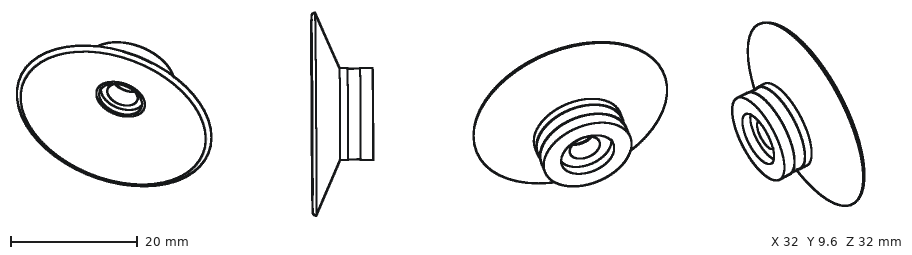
import cadquery as cq
import math

total_length = 9.6
rim_radius = 16.0
rim_height = 0.58
rim_round_radius = 0.6
rim_flat_width = 0.2

collar_radius = 7.25
groove_depth = 0.1
end_band_width = 2.0
groove_width = 2.0
front_band_width = 1.25

seat_radius = 4.0
seat_height = 4.1
counterbore_radius = 3.52
counterbore_depth = 1.0
bore_radius = 2.5
back_recess_radius = 4.4
back_recess_depth = 1.5

groove_back = total_length - end_band_width
groove_front = groove_back - groove_width
cone_top = groove_front - front_band_width

rim_flat_outer = rim_radius - rim_round_radius
rim_flat_inner = rim_flat_outer - rim_flat_width
counterbore_floor = seat_height + counterbore_depth
back_recess_floor = total_length - back_recess_depth

arc_offset = rim_round_radius * (1 - math.sqrt(0.5))


def make_cup():
    """Conical cup with a rounded rim and a collar, hollow on the rim side."""
    profile = (
        cq.Workplane("XY")
        .moveTo(0, total_length)
        .lineTo(collar_radius, total_length)
        .lineTo(collar_radius, cone_top)
        .lineTo(rim_radius, rim_height)
        .threePointArc((rim_radius - arc_offset, arc_offset), (rim_flat_outer, 0))
        .lineTo(rim_flat_inner, 0)
        .lineTo(seat_radius, seat_height)
        .lineTo(0, seat_height)
        .close()
    )
    return profile.revolve(360, (0, 0, 0), (0, 1, 0))


def make_disc(radius, start, end):
    """Solid cylinder on the Y axis between two axial positions."""
    return cq.Workplane("XZ", origin=(0, start, 0)).circle(radius).extrude(start - end)


def make_groove():
    """Shallow ring cut into the outside of the collar."""
    outside = make_disc(rim_radius, groove_front, groove_back)
    return outside.cut(make_disc(collar_radius - groove_depth, groove_front, groove_back))


result = (
    make_cup()
    .cut(make_groove())
    .cut(make_disc(counterbore_radius, seat_height, counterbore_floor))
    .cut(make_disc(bore_radius, seat_height, total_length))
    .cut(make_disc(back_recess_radius, back_recess_floor, total_length))
)